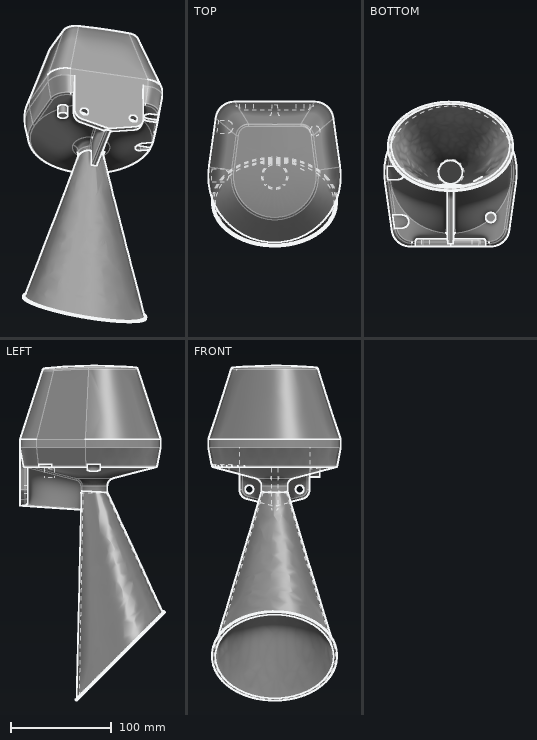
import cadquery as cq
import math

front_radius = 66.0
back_distance = 74.0
corner_radius = 19.0
crown_corner_radius = 12.4
base_corner_radius = 17.0
side_angle = math.radians(8)
band_height = 8.0
crown_draft = math.radians(18)
roof_z = 81.4
dome_radius = 460.0
roof_edge_radius = 2.7
base_bottom_z = -20.0
base_draft = math.radians(10.7)
base_edge_radius = 2.0

funnel_radius = 60.5
funnel_angle = math.radians(14.5)
neck_radius = 13.0
neck_fillet = 7.5
neck_bottom_z = -44.0
neck_tilt = math.radians(-3)
neck_overlap = 1.0

overall_depth = 144.26
overall_height = 333.15
mouth_tilt = math.radians(45)
lip_radius = 62.3
lip_thickness = 1.6
horn_throat_radius = 13.1
horn_mouth_radius = 60.6
bore_mouth_radius = 58.8
bore_throat_radius = 11.5

bracket_width = 70.0
bracket_thickness = 8.0
bracket_hole_diameter = 8.0
bracket_hole_x = 25.0
bracket_hole_z = -41.7
bracket_corner_radius = bracket_width / 2 - bracket_hole_x
bracket_slope = math.radians(14)
bracket_edge_radius = 3.0
gusset_thickness = 6.0
gusset_embed = 0.8
gusset_drop = 4.0
gusset_edge_radius = 1.5

recess_radius = 6.5
recess_floor_z = -30.0
recess_top_z = -16.7
recess_length = 30.0
recess_centers = [(-52.0, 0.8), (-48.0, 49.0)]
boss_diameter = 10.0
boss_center = (40.0, 45.0)
boss_bottom_z = -29.5

select_margin = 0.5


def housing_outline(inset, rear_radius, z):
    """Closed D-shaped wire: round front, leaning sides, rounded rear corners, flat back."""
    radius = front_radius - inset
    back = back_distance - inset
    cos_a = math.cos(side_angle)
    sin_a = math.sin(side_angle)
    center_y = back - rear_radius
    center_x = (radius - rear_radius - center_y * sin_a) / cos_a
    corner_mid = (math.radians(90) + side_angle) / 2
    side_front = (radius * cos_a, radius * sin_a)
    side_rear = (center_x + rear_radius * cos_a, center_y + rear_radius * sin_a)
    corner = (center_x + rear_radius * math.cos(corner_mid), center_y + rear_radius * math.sin(corner_mid))
    return (
        cq.Workplane("XY", origin=(0, 0, z))
        .moveTo(*side_front)
        .lineTo(*side_rear)
        .threePointArc(corner, (center_x, back))
        .lineTo(-center_x, back)
        .threePointArc((-corner[0], corner[1]), (-side_rear[0], side_rear[1]))
        .lineTo(-side_front[0], side_front[1])
        .threePointArc((0, -radius), side_front)
        .close()
        .wires()
        .val()
    )


def ruled_loft(wires):
    return cq.Workplane(cq.Solid.makeLoft(wires, True))


def tilted_circle(radius, center, tilt):
    """Circle facing down, turned forward about the X direction by the given tilt."""
    normal = (0, -math.sin(tilt), -math.cos(tilt))
    plane = cq.Plane(origin=center, xDir=(1, 0, 0), normal=normal)
    return cq.Workplane(plane).circle(radius).wires().val()


def make_crown():
    crown_top_inset = (roof_z - band_height) * math.tan(crown_draft)
    crown = ruled_loft([
        housing_outline(0, corner_radius, band_height),
        housing_outline(crown_top_inset, crown_corner_radius, roof_z),
    ])
    dome = cq.Workplane("XY").sphere(dome_radius).translate((0, 0, roof_z - dome_radius))
    return crown.intersect(dome).faces(">Z").edges().fillet(roof_edge_radius)


def make_band_and_base():
    band = ruled_loft([
        housing_outline(0, corner_radius, 0),
        housing_outline(0, corner_radius, band_height),
    ])
    base_inset = -base_bottom_z * math.tan(base_draft)
    base = ruled_loft([
        housing_outline(base_inset, base_corner_radius, base_bottom_z),
        housing_outline(0, corner_radius, 0),
    ])
    base = base.faces("<Z").edges().fillet(base_edge_radius)
    return band.union(base)


def make_funnel():
    """Shallow cone under the base, blended into the neck."""
    corner_z = base_bottom_z - (funnel_radius - neck_radius) * math.tan(funnel_angle)
    neck_end_z = neck_bottom_z - neck_overlap
    profile = [
        (0, base_bottom_z),
        (funnel_radius, base_bottom_z),
        (neck_radius, corner_z),
        (neck_radius, neck_end_z),
        (0, neck_end_z),
    ]
    funnel = cq.Workplane("XZ").polyline(profile).close().revolve(360, (0, 0), (0, 1))
    reach = neck_radius + select_margin
    corner_edge = cq.selectors.BoxSelector(
        (-reach, -reach, corner_z - select_margin),
        (reach, reach, corner_z + select_margin),
        boundingbox=True,
    )
    return funnel.edges(corner_edge).edges("%CIRCLE").fillet(neck_fillet)


def mouth_point(setback):
    """Centre of the mouth plane, moved back into the horn by the given distance."""
    front_y = back_distance - overall_depth
    bottom_z = roof_z - overall_height
    return (
        0,
        front_y + lip_radius * math.cos(mouth_tilt) + setback * math.sin(mouth_tilt),
        bottom_z + lip_radius * math.sin(mouth_tilt) + setback * math.cos(mouth_tilt),
    )


def make_bore():
    return ruled_loft([
        tilted_circle(bore_throat_radius, (0, 0, neck_bottom_z), neck_tilt),
        tilted_circle(bore_mouth_radius, mouth_point(0), mouth_tilt),
    ])


def make_horn():
    horn = ruled_loft([
        tilted_circle(horn_throat_radius, (0, 0, neck_bottom_z), neck_tilt),
        tilted_circle(horn_mouth_radius, mouth_point(lip_thickness), mouth_tilt),
    ])
    lip = ruled_loft([
        tilted_circle(lip_radius, mouth_point(lip_thickness), mouth_tilt),
        tilted_circle(lip_radius, mouth_point(0), mouth_tilt),
    ])
    return horn.union(lip).cut(make_bore())


def bracket_apex_z():
    """Lowest point of the V-shaped bracket edge, on the middle plane."""
    fall = bracket_hole_x * math.tan(bracket_slope) + bracket_corner_radius / math.cos(bracket_slope)
    return bracket_hole_z - fall


def make_bracket():
    half = bracket_width / 2
    apex_z = bracket_apex_z()
    arc_mid = (math.radians(90) - bracket_slope) / 2
    arc_end_x = bracket_hole_x + bracket_corner_radius * math.sin(bracket_slope)
    arc_end_z = bracket_hole_z - bracket_corner_radius * math.cos(bracket_slope)
    arc_x = bracket_hole_x + bracket_corner_radius * math.cos(arc_mid)
    arc_z = bracket_hole_z - bracket_corner_radius * math.sin(arc_mid)
    plate = (
        cq.Workplane("XZ", origin=(0, back_distance, 0))
        .moveTo(-half, 0)
        .lineTo(-half, bracket_hole_z)
        .threePointArc((-arc_x, arc_z), (-arc_end_x, arc_end_z))
        .lineTo(0, apex_z)
        .lineTo(arc_end_x, arc_end_z)
        .threePointArc((arc_x, arc_z), (half, bracket_hole_z))
        .lineTo(half, 0)
        .close()
        .extrude(bracket_thickness)
        .faces("<Y")
        .edges()
        .fillet(bracket_edge_radius)
    )
    holes = (
        cq.Workplane("XZ", origin=(0, back_distance, 0))
        .pushPoints([(-bracket_hole_x, bracket_hole_z), (bracket_hole_x, bracket_hole_z)])
        .circle(bracket_hole_diameter / 2)
        .extrude(bracket_thickness)
    )
    return plate.cut(holes)


def make_gusset():
    """Upright web joining the bracket to the funnel and neck, with a rounded bottom edge."""
    apex_z = bracket_apex_z()
    gusset_front_y = neck_radius - gusset_embed
    gusset_back_y = back_distance - bracket_edge_radius
    gusset = (
        cq.Workplane("YZ", origin=(-gusset_thickness / 2, 0, 0))
        .polyline([
            (gusset_back_y, base_bottom_z),
            (gusset_back_y, apex_z),
            (gusset_front_y, apex_z - gusset_drop),
            (gusset_front_y, base_bottom_z),
        ])
        .close()
        .extrude(gusset_thickness)
    )
    bottom_edges = cq.selectors.BoxSelector(
        (-gusset_thickness, 0, apex_z - gusset_drop - select_margin),
        (gusset_thickness, back_distance, apex_z + select_margin),
        boundingbox=True,
    )
    return gusset.edges(bottom_edges).edges("not |X").fillet(gusset_edge_radius)


def make_underside():
    """Funnel, neck and gusset as one piece, blended where the gusset meets the funnel and neck."""
    side_x = gusset_thickness / 2 + select_margin
    meeting_edges = cq.selectors.BoxSelector(
        (-side_x, neck_radius, neck_bottom_z),
        (side_x, funnel_radius, base_bottom_z + select_margin),
        boundingbox=True,
    )
    joined = make_funnel().union(make_gusset())
    return joined.edges(meeting_edges).edges("%HYPERBOLA").fillet(gusset_edge_radius)


def make_recess(center):
    """Round-ended pocket under the base edge, open to the -X side."""
    x, y = center
    depth = recess_top_z - recess_floor_z
    outline = cq.Workplane("XY", origin=(0, 0, recess_floor_z))
    round_end = outline.center(x, y).circle(recess_radius).extrude(depth)
    channel = outline.center(x - recess_length / 2, y).rect(recess_length, 2 * recess_radius).extrude(depth)
    return round_end.union(channel)


def make_boss():
    return (
        cq.Workplane("XY", origin=(*boss_center, boss_bottom_z))
        .circle(boss_diameter / 2)
        .extrude(-boss_bottom_z)
    )


body = make_crown().union(make_band_and_base()).union(make_underside())
for recess_center in recess_centers:
    body = body.cut(make_recess(recess_center))
body = body.union(make_boss()).union(make_bracket())
result = body.union(make_horn())